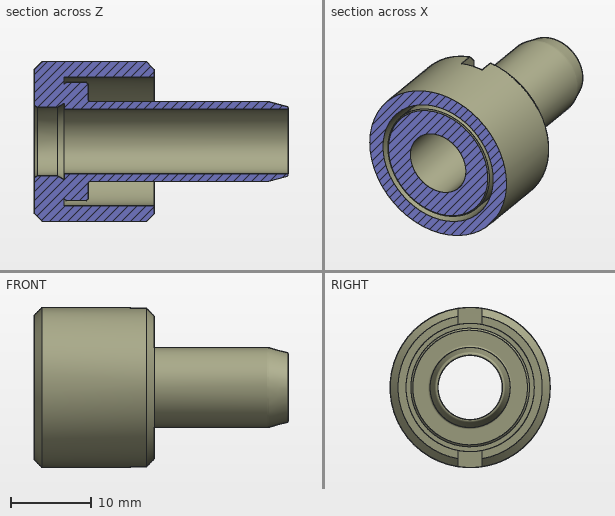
import math

import cadquery as cq

TOTAL_LENGTH = 31.7

HEAD_LENGTH = 15.0
HEAD_DIAMETER = 20.0
HEAD_CHAMFER = 1.0
FLOOR_THICKNESS = 3.75
CAVITY_DIAMETER = 16.0
MOUTH_DIAMETER = 8.5
MOUTH_CHAMFER = 0.25
MOUTH_FLARE = 0.5
MOUTH_CONE_ANGLE = 30.0
SLOT_WIDTH = 3.0
SLOT_LENGTH = 3.0

FLANGE_DIAMETER = 14.8
FLANGE_THICKNESS = 3.0
FLANGE_CHAMFER = 0.25
SHANK_DIAMETER = 10.0
SHANK_ROOT_RADIUS = 0.25
BORE_DIAMETER = 8.0
TIP_LENGTH = 2.5
TIP_ANGLE = 15.0
TAPER_BLEND_RADIUS = 1.0
TIP_EDGE_RADIUS = 0.25


def revolve_about_x(points):
    """Solid of revolution about X from (x, radius) outline points."""
    return cq.Workplane("XY").polyline(points).close().revolve(360, (0, 0, 0), (1, 0, 0))


def cylinder(diameter, start, end):
    """Solid cylinder on the X axis between two X positions."""
    return cq.Workplane("YZ", origin=(start, 0, 0)).circle(diameter / 2).extrude(end - start)


def circle_edge_at(x, radius):
    """Selector box around the circular edge of a given radius at a given X."""
    half_width = 0.02
    reach = radius + half_width
    return cq.selectors.BoxSelector(
        (x - half_width, -reach, -reach), (x + half_width, reach, reach), boundingbox=True
    )


def make_mouth():
    """Hole through the cup floor, chamfered outside and flared into the cavity."""
    radius = MOUTH_DIAMETER / 2
    cone_slope = math.tan(math.radians(MOUTH_CONE_ANGLE))
    return revolve_about_x([
        (0, 0),
        (0, radius + MOUTH_CHAMFER),
        (MOUTH_CHAMFER / cone_slope, radius),
        (FLOOR_THICKNESS - MOUTH_FLARE / cone_slope, radius),
        (FLOOR_THICKNESS, radius + MOUTH_FLARE),
        (FLOOR_THICKNESS, 0),
    ])


def make_head():
    head = cylinder(HEAD_DIAMETER, 0, HEAD_LENGTH).faces("<X or >X").chamfer(HEAD_CHAMFER)
    cavity = cylinder(CAVITY_DIAMETER, FLOOR_THICKNESS, HEAD_LENGTH)
    slot = cq.Workplane("XY").box(SLOT_LENGTH, SLOT_WIDTH, HEAD_DIAMETER)
    slot = slot.translate((HEAD_LENGTH - SLOT_LENGTH / 2, 0, 0))
    return head.cut(cavity).cut(slot).cut(make_mouth())


def make_flange():
    flange_end = FLOOR_THICKNESS + FLANGE_THICKNESS
    flange = cylinder(FLANGE_DIAMETER, FLOOR_THICKNESS, flange_end)
    return flange.faces("<X or >X").chamfer(FLANGE_CHAMFER)


def make_tube():
    flange_end = FLOOR_THICKNESS + FLANGE_THICKNESS
    taper_start = TOTAL_LENGTH - TIP_LENGTH
    shank_radius = SHANK_DIAMETER / 2
    tip_radius = shank_radius - TIP_LENGTH * math.tan(math.radians(TIP_ANGLE))
    shank = revolve_about_x([
        (FLOOR_THICKNESS, 0),
        (FLOOR_THICKNESS, shank_radius),
        (taper_start, shank_radius),
        (TOTAL_LENGTH, tip_radius),
        (TOTAL_LENGTH, 0),
    ])
    shank = shank.edges(circle_edge_at(taper_start, shank_radius)).fillet(TAPER_BLEND_RADIUS)
    shank = shank.faces(">X").edges().fillet(TIP_EDGE_RADIUS)
    tube = make_flange().union(shank)
    tube = tube.edges(circle_edge_at(flange_end, shank_radius)).fillet(SHANK_ROOT_RADIUS)
    return tube.cut(cylinder(BORE_DIAMETER, FLOOR_THICKNESS, TOTAL_LENGTH))


result = make_head().union(make_tube())